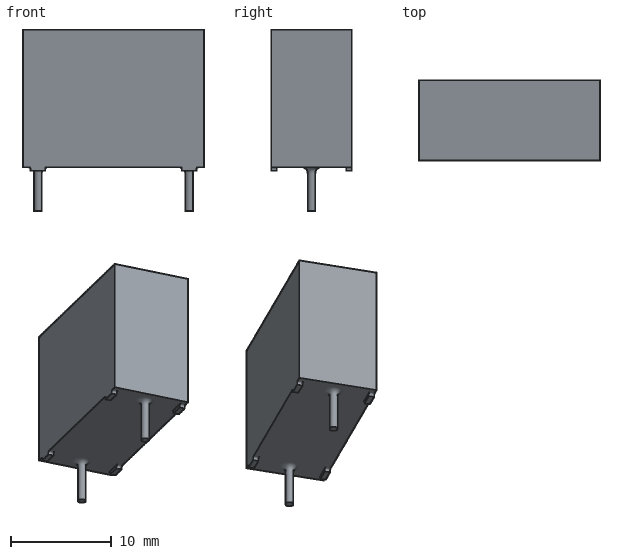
import cadquery as cq

length = 18.0
width = 8.0
overall_height = 18.0
lead_length = 4.0
lead_diameter = 0.8
lead_pitch = 15.0

foot_height = 0.35
foot_length = 1.48
foot_depth = 0.55
foot_root_radius = 0.2

collar_radius = 0.55

case_bottom = lead_length + foot_height
lead_radius = lead_diameter / 2
lead_positions = (-lead_pitch / 2, lead_pitch / 2)


def make_case():
    case_height = overall_height - case_bottom
    return (
        cq.Workplane("XY")
        .box(length, width, case_height, centered=(True, True, False))
        .translate((0, 0, case_bottom))
    )


def make_foot(x, side):
    """Foot flush with the long case face on the given Y side, flared at both ends of its root."""
    half = foot_length / 2
    root_half = half + foot_root_radius
    shoulder = -foot_root_radius
    bend = foot_root_radius * (1 - 0.5 ** 0.5)
    outline = (
        cq.Workplane("XZ")
        .moveTo(-root_half, 0)
        .threePointArc((-half - bend, -bend), (-half, shoulder))
        .lineTo(-half, -foot_height)
        .lineTo(half, -foot_height)
        .lineTo(half, shoulder)
        .threePointArc((half + bend, -bend), (root_half, 0))
        .close()
    )
    foot_centre_y = side * (width - foot_depth) / 2
    return outline.extrude(foot_depth / 2, both=True).translate((x, foot_centre_y, case_bottom))


def make_lead(x):
    """Round lead whose side sweeps out in a quarter-circle collar to meet the case."""
    bend = collar_radius * (1 - 0.5 ** 0.5)
    return (
        cq.Workplane("XZ")
        .lineTo(lead_radius, 0)
        .lineTo(lead_radius, case_bottom - collar_radius)
        .threePointArc(
            (lead_radius + bend, case_bottom - bend),
            (lead_radius + collar_radius, case_bottom),
        )
        .lineTo(0, case_bottom)
        .close()
        .revolve(360, (0, 0), (0, 1))
        .translate((x, 0, 0))
    )


result = make_case()
for lead_x in lead_positions:
    result = result.union(make_lead(lead_x))
    for y_side in (-1, 1):
        result = result.union(make_foot(lead_x, y_side))